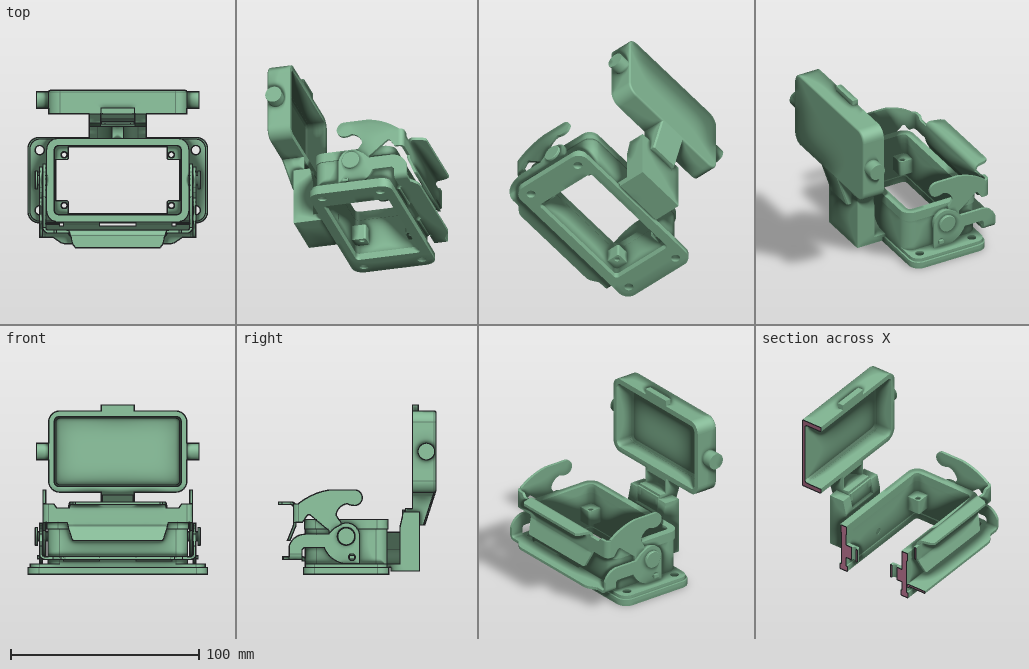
import cadquery as cq

flange_length = 95.5
flange_width = 45.5
flange_height = 3.6
flange_radius = 6.0
step_length = 93.2
step_width = 43.55
step_top = 5.5
step_radius = 5.1
mount_hole_dia = 4.8
mount_hole_x = 41.4
mount_hole_y = 15.95

wall_length = 74.1
wall_width = step_width
rim_length = 75.4
rim_width = 44.5
rim_bottom = 24.0
housing_top = 29.1
housing_radius = 6.0
cavity_length = 67.3
cavity_width = 36.6
cavity_radius = 2.4
cavity_relief = 0.1
mouth_length = 65.6
mouth_width = 35.3
mouth_radius = 1.9

post_size = 7.5
post_bottom = 8.9
post_top = 17.3
post_radius = 1.1
post_hole_dia = 2.9
post_sink_dia = 3.4
post_hole_x = 28.5
post_hole_y = 13.5

hinge_width = 30.4
hinge_back = 39.1
hinge_front = 28.5
hinge_root = wall_width / 2 - 1.0
hinge_bottom = 1.6
hinge_top = 32.9
hinge_top_front = 30.3
hinge_plate_front = 23.7
hinge_plate_top = 5.35
hinge_slot_width = 18.3
hinge_knee = 24.8
rib_width = 5.9
rib_top = 22.4
rib_flare = 7.8
dimple_dia = 3.8
dimple_z = 9.6
dimple_depth = 0.3

lid_length = 73.5
lid_front = 35.1
lid_back = 47.75
lid_bottom = 43.55
lid_top = 86.8
lid_radius = 6.0
lid_rim = 3.1
lid_floor = 1.9
lid_recess_radius = 2.9
lid_floor_chamfer = 0.9
lid_floor_depth = 1.9
lid_recess_relief = 0.1
lid_back_fillet = 1.05
lid_tab_width = 17.8
lid_tab_top = 90.0
lid_tab_back = 38.4
trunnion_dia = 8.9
trunnion_span = 86.3
trunnion_y = 42.6

arm_bottom = 26.1
arm_bottom_back = 41.7
arm_front = 29.9
arm_floor = 34.9
arm_bead_back = 32.4
arm_bead_front = 31.4
arm_bead_top = 35.05
arm_groove_front = 30.8
arm_groove_floor = 33.2
arm_ear_top = 34.2
arm_ear_bottom = 29.4
arm_window_width = 16.2
arm_window_top = 42.0
arm_window_bottom = 32.1
arm_plate = 0.9
arm_notch_width = 13.75
arm_notch_top = 33.2
arm_notch_depth = 0.5
arm_edge = 0.8

sheet = 1.5
bend_radius = 2.9
pivot_z = 20.15

lever_half = 39.7
lever_front = -28.1
lever_bottom = 27.5
lever_top = 37.3
lever_notch_z = 35.3
lever_neck_y = -9.3
lever_heel_z = 9.7
lever_eye_radius = 6.5
hook_y = 4.4
hook_z = 40.7
hook_radius = 4.2
lever_tab_top = 38.5
lever_tab_end = -36.0
lip_run = 3.2
lip_bottom = 17.9

bracket_half = 41.5
bracket_front = -30.4
bracket_edge = -23.4
bracket_bottom = 7.8
bracket_apron = -33.9
bracket_tail_z = 5.8
bracket_arm_top = 21.3
bracket_arm_bottom = 14.1
bracket_eye_radius = 7.1
toe_inner_x = 9.6
toe_outer_x = 28.9
toe_notch_x = 30.8
toe_notch_y = -24.3
toe_bottom = 7.0
toe_bend = 1.4

shank_dia = 5.0
tail_dia = 3.3
head_dia = 9.55
head_inner = 42.5
head_outer = 43.9
head_chamfer = 0.3
stud_y = 3.1
stud_z = 9.1
stud_dia = 3.6
stud_depth = 0.8
stud_length = 2.8
stud_height = 1.7
stud_outer = 42.7


def block(x0, x1, y0, y1, z0, z1):
    """Box between two opposite corners."""
    return cq.Workplane("XY").box(x1 - x0, y1 - y0, z1 - z0, centered=False).translate((x0, y0, z0))


def rounded_plate(length, width, z0, z1, radius):
    """Centred plate with rounded vertical edges."""
    return block(-length / 2, length / 2, -width / 2, width / 2, z0, z1).edges("|Z").fillet(radius)


def across(profile, half_width):
    """Extrude a closed YZ profile symmetrically along X."""
    return profile.close().extrude(half_width, both=True)


def both_sides(body):
    """A body together with its mirror image about X = 0."""
    return body.union(body.mirror("YZ"))


def mirrored_outline(points):
    """Close a right-hand chain of points with its mirror image."""
    return points + [(-x, y) for x, y in reversed(points)]


def bent_channel(plane, half_width, base):
    """Closed outline of a sheet strip whose two ends are bent up by a quarter turn."""
    top = base + bend_radius
    flat = half_width - bend_radius
    inner_radius = bend_radius - sheet
    outer_slant = bend_radius * 0.5 ** 0.5
    inner_slant = inner_radius * 0.5 ** 0.5
    return (
        plane.moveTo(-half_width, top)
        .threePointArc((-flat - outer_slant, top - outer_slant), (-flat, base))
        .lineTo(flat, base)
        .threePointArc((flat + outer_slant, top - outer_slant), (half_width, top))
        .lineTo(half_width - sheet, top)
        .threePointArc((flat + inner_slant, top - inner_slant), (flat, base + sheet))
        .lineTo(-flat, base + sheet)
        .threePointArc((-flat - inner_slant, top - inner_slant), (sheet - half_width, top))
        .close()
    )


def rod(dia, x0, x1, y, z):
    """Cylinder along X."""
    return cq.Workplane("YZ", origin=(x0, 0, 0)).center(y, z).circle(dia / 2).extrude(x1 - x0)


def hinge_block():
    """Two cheeks with a slot between them, and a plate and flared rib to the housing."""
    outline = (
        cq.Workplane("YZ")
        .moveTo(hinge_back, hinge_bottom)
        .lineTo(hinge_back, hinge_top)
        .lineTo(hinge_top_front, hinge_top)
        .lineTo(hinge_front, hinge_knee)
        .lineTo(hinge_front, hinge_plate_top)
        .lineTo(hinge_root, hinge_plate_top)
        .lineTo(hinge_root, flange_height)
        .lineTo(hinge_plate_front, flange_height)
        .lineTo(hinge_plate_front, hinge_bottom)
    )
    body = across(outline, hinge_width / 2)
    slot_half = hinge_slot_width / 2
    body = body.cut(block(-slot_half, slot_half, hinge_front, hinge_back, hinge_knee, hinge_top))
    return body.union(hinge_rib())


def hinge_rib():
    """Upright rib whose foot flares out to the plate with concave arcs."""
    half = rib_width / 2
    foot = half + rib_flare
    knee = hinge_plate_top + rib_flare
    bulge = rib_flare * (1 - 0.5 ** 0.5)
    return (
        cq.Workplane("XZ", origin=(0, hinge_root, 0))
        .moveTo(-foot, hinge_plate_top)
        .threePointArc((-half - bulge, hinge_plate_top + bulge), (-half, knee))
        .lineTo(-half, rib_top)
        .lineTo(half, rib_top)
        .lineTo(half, knee)
        .threePointArc((half + bulge, hinge_plate_top + bulge), (foot, hinge_plate_top))
        .close()
        .extrude(hinge_root - hinge_front)
    )


def screw_posts():
    """Four drilled posts that fill the corners of the cavity."""
    posts = cq.Workplane("XY")
    for side_x in (-1, 1):
        for side_y in (-1, 1):
            corner_x = side_x * ((cavity_length - post_size) / 2 + cavity_relief)
            corner_y = side_y * ((cavity_width - post_size) / 2 + cavity_relief)
            inner_edge = ("<X" if side_x > 0 else ">X") + " and " + ("<Y" if side_y > 0 else ">Y")
            post = (
                cq.Workplane("XY", origin=(corner_x, corner_y, post_bottom))
                .rect(post_size, post_size)
                .extrude(post_top - post_bottom)
                .edges("|Z and (" + inner_edge + ")")
                .fillet(post_radius)
                .faces(">Z")
                .workplane(origin=(side_x * post_hole_x, side_y * post_hole_y, post_top))
                .cskHole(post_hole_dia, post_sink_dia, 90)
            )
            posts = posts.union(post)
    envelope = rounded_plate(wall_length, wall_width, post_bottom, post_top, housing_radius)
    return posts.intersect(envelope)


def make_housing():
    flange = rounded_plate(flange_length, flange_width, 0, flange_height, flange_radius)
    step = rounded_plate(step_length, step_width, flange_height, step_top, step_radius)
    wall = rounded_plate(wall_length, wall_width, step_top, rim_bottom, housing_radius)
    rim = rounded_plate(rim_length, rim_width, rim_bottom, housing_top, housing_radius)
    body = flange.union(step).union(wall).union(rim).union(hinge_block())

    body = body.cut(rounded_plate(cavity_length, cavity_width, rim_bottom, housing_top, cavity_radius))
    lower_length = cavity_length + 2 * cavity_relief
    lower_width = cavity_width + 2 * cavity_relief
    body = body.cut(rounded_plate(lower_length, lower_width, flange_height, rim_bottom, cavity_radius))
    body = body.cut(rounded_plate(mouth_length, mouth_width, 0, flange_height, mouth_radius))
    body = body.union(screw_posts())

    mount_holes = (
        cq.Workplane("XY")
        .rect(2 * mount_hole_x, 2 * mount_hole_y, forConstruction=True)
        .vertices()
        .circle(mount_hole_dia / 2)
        .extrude(step_top)
    )
    wall_dimple = (
        cq.Workplane("XZ", origin=(0, cavity_width / 2 + cavity_relief, 0))
        .center(0, dimple_z)
        .circle(dimple_dia / 2)
        .extrude(-dimple_depth)
    )
    rivet_holes = rod(tail_dia, -wall_length / 2, wall_length / 2, 0, pivot_z)
    return body.cut(mount_holes).cut(wall_dimple).cut(rivet_holes)


def lid_arm():
    """Hollow arm that drops from the lid into the slot of the hinge block."""
    slope_top = lid_bottom + lid_back_fillet
    outline = (
        cq.Workplane("YZ")
        .moveTo(lid_front, slope_top)
        .lineTo(lid_back, slope_top)
        .lineTo(arm_bottom_back, arm_bottom)
        .lineTo(hinge_back, arm_bottom)
        .lineTo(hinge_back, hinge_knee)
        .lineTo(arm_front, hinge_knee)
        .lineTo(arm_front, arm_ear_top)
        .lineTo(arm_groove_front, arm_ear_top)
        .lineTo(arm_groove_front, arm_groove_floor)
        .lineTo(arm_bead_front, arm_groove_floor)
        .lineTo(arm_bead_front, arm_bead_top)
        .lineTo(arm_bead_back, arm_bead_top)
        .lineTo(arm_bead_back, arm_floor)
        .lineTo(lid_front, arm_floor)
    )
    arm = across(outline, lid_tab_width / 2)
    slope_middle = (0, (lid_back + arm_bottom_back) / 2, (slope_top + arm_bottom) / 2)
    arm = arm.faces(cq.NearestToPointSelector(slope_middle)).edges("not |X").chamfer(arm_edge)

    slope = (lid_back - arm_bottom_back) / (slope_top - arm_bottom)
    window_back = arm_bottom_back - arm_plate
    window = (
        cq.Workplane("YZ")
        .moveTo(lid_front, arm_floor)
        .lineTo(window_back + slope * (arm_window_bottom - arm_bottom), arm_window_bottom)
        .lineTo(window_back + slope * (arm_window_top - arm_bottom), arm_window_top)
        .lineTo(lid_front, arm_window_top)
    )
    arm = arm.cut(across(window, arm_window_width / 2))

    arm_half = lid_tab_width / 2
    notch_half = arm_notch_width / 2
    notch_back = arm_front + arm_notch_depth
    between_ears = block(-notch_half, notch_half, arm_front, notch_back, hinge_knee, arm_notch_top)
    below_ears = block(-arm_half, arm_half, arm_front, notch_back, hinge_knee, arm_ear_bottom)
    return arm.cut(between_ears).cut(below_ears)


def lid_recess(rim, back):
    """Rounded block that hollows the lid to the given depth, leaving a rim around it."""
    half = lid_length / 2 - rim
    body = block(-half, half, lid_front, back, lid_bottom + rim, lid_top - rim)
    return body.edges("|Y").fillet(lid_recess_radius)


def make_lid():
    half = lid_length / 2
    shell = (
        block(-half, half, lid_front, lid_back, lid_bottom, lid_top)
        .edges("|Y")
        .fillet(lid_radius)
        .faces(">Y")
        .edges()
        .fillet(lid_back_fillet)
    )
    recess = lid_recess(lid_rim, lid_back - lid_floor).faces(">Y").edges().chamfer(lid_floor_chamfer)
    wide_recess = lid_recess(lid_rim - lid_recess_relief, lid_back - lid_floor - lid_floor_depth)
    tab_half = lid_tab_width / 2
    tab = block(-tab_half, tab_half, lid_front, lid_tab_back, lid_top - lid_rim, lid_tab_top)
    trunnion_z = (lid_bottom + lid_top) / 2
    trunnions = rod(trunnion_dia, -trunnion_span / 2, trunnion_span / 2, trunnion_y, trunnion_z)
    return shell.union(tab).union(trunnions).union(lid_arm()).cut(recess).cut(wide_recess)


def lever_side():
    """Right-hand hook plate, from the pivot up to the hook and forward to the bend."""
    bend_start = lever_front + bend_radius
    hook_top = hook_z + hook_radius
    hook_bottom = hook_z - hook_radius
    eye_end = (-2.8, pivot_z + 5.9)
    claw = (-5.35, 31.4)
    throat_middle = (-3.5, 35.3)
    throat_end = (0.5, 37.4)
    return (
        cq.Workplane("YZ", origin=(lever_half - sheet, 0, 0))
        .moveTo(hook_y, hook_top)
        .lineTo(-8.8, hook_top)
        .threePointArc((-17.6, 42.3), (bend_start, lever_top + 0.4))
        .lineTo(bend_start, lever_bottom)
        .lineTo(-23.3, lever_bottom)
        .lineTo(-20.9, 30.9)
        .threePointArc((-19.9, 31.6), (-18.7, 31.1))
        .lineTo(lever_neck_y, 23.3)
        .lineTo(lever_neck_y, 18.2)
        .threePointArc((-6.9, 12.2), (0, lever_heel_z))
        .threePointArc((4.8, 13.4), (lever_eye_radius, pivot_z))
        .threePointArc((3.0, pivot_z + 5.7), eye_end)
        .lineTo(-2.9, 27.6)
        .lineTo(*claw)
        .threePointArc(throat_middle, throat_end)
        .lineTo(2.5, hook_bottom + 0.2)
        .lineTo(hook_y, hook_bottom)
        .threePointArc((hook_y + hook_radius, hook_z), (hook_y, hook_top))
        .close()
        .extrude(sheet)
    )


def lever_front_plate():
    """Front strip with both corner bends and a notched upper edge."""
    bottom_plane = cq.Workplane("XY", origin=(0, 0, lever_bottom))
    strip = bent_channel(bottom_plane, lever_half, lever_front).extrude(lever_top - lever_bottom)
    notch_outline = mirrored_outline([(33.9, lever_top), (32.5, lever_notch_z)])
    notch = cq.Workplane("XZ").polyline(notch_outline).close().extrude(-lever_front)
    return strip.cut(notch)


def lever_tab():
    """Finger tab folded outward from the upper edge."""
    inner_face = lever_front + sheet
    bend_end = inner_face - bend_radius
    bend_start = lever_tab_top - bend_radius
    inner_radius = bend_radius - sheet
    outline = (
        cq.Workplane("YZ")
        .moveTo(inner_face, lever_notch_z)
        .lineTo(inner_face, bend_start)
        .radiusArc((bend_end, lever_tab_top), -bend_radius)
        .lineTo(lever_tab_end, lever_tab_top)
        .lineTo(lever_tab_end, lever_tab_top - sheet)
        .lineTo(bend_end, lever_tab_top - sheet)
        .radiusArc((lever_front, bend_start), inner_radius)
        .lineTo(lever_front, lever_notch_z)
    )
    plan = [(26.1, inner_face), (25.0, -29.6), (23.9, -34.2), (22.3, lever_tab_end)]
    trim = cq.Workplane("XY").polyline(mirrored_outline(plan)).close().extrude(lever_tab_top)
    return across(outline, plan[0][0]).intersect(trim)


def lever_lip():
    """Lip slanting outward and down from the lower edge."""
    outline = (
        cq.Workplane("YZ")
        .moveTo(lever_front + sheet, lever_bottom + sheet)
        .lineTo(lever_front, lever_bottom + sheet)
        .lineTo(lever_front, lever_bottom - sheet)
        .lineTo(lever_front - lip_run, lip_bottom)
        .lineTo(lever_front - lip_run + sheet, lip_bottom)
        .lineTo(lever_front + sheet, lever_bottom - sheet)
    )
    face = [(26.8, lever_bottom + sheet), (26.8, lever_bottom), (26.0, 24.0), (24.1, 18.2), (23.2, lip_bottom)]
    trim = (
        cq.Workplane("XZ").polyline(mirrored_outline(face)).close().extrude(-lever_tab_end)
    )
    lip = across(outline, face[0][0])
    lip = lip.edges(cq.NearestToPointSelector((0, lever_front, lever_bottom - sheet)))
    lip = lip.fillet(bend_radius - sheet)
    lip = lip.edges(cq.NearestToPointSelector((0, lever_front + sheet, lever_bottom - sheet)))
    return lip.fillet(bend_radius).intersect(trim)


def make_lever():
    lever = both_sides(lever_side()).union(lever_front_plate())
    lever = lever.union(lever_tab()).union(lever_lip())
    return lever.cut(rod(shank_dia, -lever_half, lever_half, 0, pivot_z))


def bracket_side():
    """Right-hand arm with the pivot eye, reaching forward and down to the bend."""
    bend_top = bracket_bottom + bend_radius
    return (
        cq.Workplane("YZ", origin=(bracket_half - sheet, 0, 0))
        .moveTo(bracket_eye_radius, bracket_tail_z)
        .lineTo(bracket_eye_radius, pivot_z)
        .threePointArc((0, pivot_z + bracket_eye_radius), (-3.8, 25.9))
        .lineTo(-6.6, 24.3)
        .lineTo(-9.55, bracket_arm_top)
        .lineTo(-22.0, bracket_arm_top)
        .threePointArc((-27.6, 19.2), (bracket_front, 14.9))
        .lineTo(bracket_front, bend_top)
        .lineTo(bracket_edge, bend_top)
        .lineTo(bracket_edge, 13.0)
        .lineTo(-22.3, bracket_arm_bottom)
        .lineTo(-11.65, bracket_arm_bottom)
        .threePointArc((-7.4, 8.4), (-1.7, bracket_tail_z))
        .close()
        .extrude(sheet)
    )


def bracket_plate():
    """Lower plate with both corner bends, an apron in front and notches behind."""
    plate_top = bracket_bottom + sheet
    rear_plane = cq.Workplane("XZ", origin=(0, bracket_edge, 0))
    strip = bent_channel(rear_plane, bracket_half, bracket_bottom).extrude(bracket_edge - bracket_front)

    apron_outline = [(34.4, bracket_front), (30.1, bracket_apron + 0.6), (27.9, bracket_apron)]
    apron = (
        cq.Workplane("XY", origin=(0, 0, bracket_bottom))
        .polyline(mirrored_outline(apron_outline))
        .close()
        .extrude(sheet)
    )
    relief = block(-toe_inner_x, toe_inner_x, toe_notch_y, bracket_edge, bracket_bottom, plate_top)
    slit = block(toe_outer_x, toe_notch_x, toe_notch_y, bracket_edge, bracket_bottom, plate_top)
    return strip.union(apron).cut(relief).cut(both_sides(slit)).union(bracket_toes())


def bracket_toes():
    """Two toes turned down from the rear edge, resting against the housing wall."""
    toe = block(
        toe_inner_x, toe_outer_x, bracket_edge, -wall_width / 2, toe_bottom, bracket_bottom + sheet
    )
    return both_sides(toe.edges("|X and >Y and >Z").fillet(toe_bend))


def rivet():
    """Right-hand rivet: tail in the housing wall, shank through the lever, flat head outside."""
    tail = rod(tail_dia, cavity_length / 2 + cavity_relief, wall_length / 2, 0, pivot_z)
    shank = rod(shank_dia, wall_length / 2, head_inner, 0, pivot_z)
    head = rod(head_dia, head_inner, head_outer, 0, pivot_z).edges(">X").chamfer(head_chamfer)
    return tail.union(shank).union(head)


def stop_stud(arm):
    """Press a round dimple into the arm and leave a bar standing out of it."""
    dimple = rod(stud_dia, bracket_half - stud_depth, bracket_half, stud_y, stud_z)
    bar = (
        cq.Workplane("YZ", origin=(bracket_half - sheet, 0, 0))
        .center(stud_y, stud_z)
        .rect(stud_length, stud_height)
        .extrude(stud_outer - bracket_half + sheet)
    )
    return arm.cut(dimple).union(bar)


def make_bracket():
    arm = stop_stud(bracket_side()).union(rivet())
    return both_sides(arm).union(bracket_plate())


housing = make_housing()
lid = make_lid()
lever = make_lever()
bracket = make_bracket()

result = cq.Compound.makeCompound([housing.val(), lid.val(), lever.val(), bracket.val()])